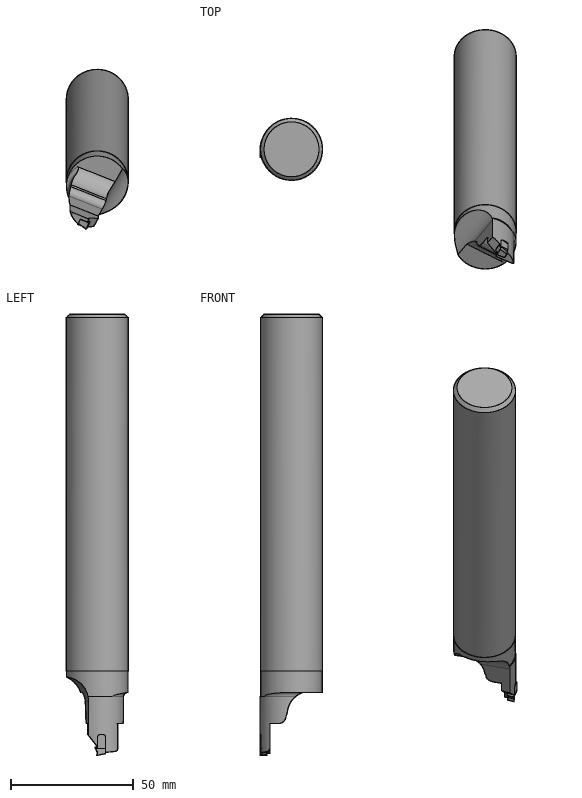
import cadquery as cq
import math

total_length = 180.0
shank_diameter = 25.37
overall_width_x = 25.58
collar_diameter = 25.15
shank_bottom_z = 34.5
collar_bottom_z = 25.7
top_chamfer = 1.5

tool_min_x = shank_diameter / 2 - overall_width_x
neck_radius = 10.75
neck_x = tool_min_x + neck_radius
neck_fillet = 1.7
neck_bottom_z = 13.0
neck_corner_radius = 3.2

blade_inner_x = -8.7
neck_inner_x = -2.2
relief_arc_start = (4.5, collar_bottom_z)
relief_arc_middle = (0.2, 22.5)
relief_arc_end = (-1.7, 17.3)

gullet_angle = 6.5
gullet_wall_x = tool_min_x
gullet_wall_y = 3.5
gullet_radius = 10.0
gullet_arc_z = 22.3

blade_bevel_top_z = 8.1
blade_heel_y = -8.4
blade_heel_radius = 1.3
blade_heel_z = 1.75
blade_bottom_slope = math.tan(math.radians(5.5))

insert_left_y = -0.1
insert_width = 3.3
insert_thickness = 2.9
insert_top_z = 8.6
insert_corner_radius = 1.2
head_top_z = 3.5
head_nose_y = 0.9
head_nose_z = 3.1
rake_valley_y = 0.0
rake_valley_z = 1.3
tip_y = 0.3
insert_heel_z = 0.75
head_relief_top_z = 2.9
head_relief_angle = 15.0

insert_right_y = insert_left_y - insert_width
reach = 2 * shank_diameter
clearance = 1.0


def make_shank_and_collar():
    shank = (
        cq.Workplane("XY", origin=(0, 0, shank_bottom_z))
        .circle(shank_diameter / 2)
        .extrude(total_length - shank_bottom_z)
        .faces(">Z")
        .chamfer(top_chamfer)
    )
    collar = (
        cq.Workplane("XY", origin=(0, 0, collar_bottom_z))
        .circle(collar_diameter / 2)
        .extrude(shank_bottom_z - collar_bottom_z)
    )
    return shank.union(collar)


def make_neck():
    """Neck cylinder with a concave flare that blends it into the underside of the collar."""
    diagonal = neck_fillet * math.sqrt(0.5)
    cylinder = (
        cq.Workplane("XY", origin=(neck_x, 0, 0))
        .circle(neck_radius)
        .extrude(collar_bottom_z - neck_fillet)
    )
    flare = (
        cq.Workplane("XZ")
        .moveTo(0, collar_bottom_z - neck_fillet)
        .lineTo(neck_radius, collar_bottom_z - neck_fillet)
        .threePointArc(
            (neck_radius + neck_fillet - diagonal, collar_bottom_z - neck_fillet + diagonal),
            (neck_radius + neck_fillet, collar_bottom_z),
        )
        .lineTo(0, collar_bottom_z)
        .close()
        .revolve(360, (0, 0, 0), (0, 1, 0))
        .translate((neck_x, 0, 0))
    )
    collar_column = cq.Workplane("XY").circle(collar_diameter / 2).extrude(collar_bottom_z)
    return cylinder.union(flare.intersect(collar_column))


def make_inner_relief():
    """Space removed on the +X side: under the collar, beside the neck and behind the blade."""
    corner_z = neck_bottom_z + neck_corner_radius
    corner_x = neck_inner_x - neck_corner_radius
    return (
        cq.Workplane("XZ", origin=(0, reach / 2, 0))
        .moveTo(reach, collar_bottom_z)
        .lineTo(*relief_arc_start)
        .threePointArc(relief_arc_middle, relief_arc_end)
        .lineTo(neck_inner_x, corner_z)
        .radiusArc((corner_x, neck_bottom_z), neck_corner_radius)
        .lineTo(blade_inner_x, neck_bottom_z)
        .lineTo(blade_inner_x, -clearance)
        .lineTo(reach, -clearance)
        .close()
        .extrude(reach)
    )


def make_gullet():
    """Space removed on the +Y side, drawn in YZ and swept along the slightly turned wall."""
    diagonal = gullet_radius * math.sqrt(0.5)
    return (
        cq.Workplane("YZ")
        .moveTo(0, -clearance)
        .lineTo(0, gullet_arc_z)
        .threePointArc(
            (gullet_radius - diagonal, gullet_arc_z + diagonal),
            (gullet_radius, gullet_arc_z + gullet_radius),
        )
        .lineTo(reach, gullet_arc_z + gullet_radius)
        .lineTo(reach, -clearance)
        .close()
        .extrude(reach, both=True)
        .rotate((0, 0, 0), (0, 0, 1), gullet_angle)
        .translate((gullet_wall_x, gullet_wall_y, 0))
    )


def make_blade_envelope():
    """Everything above the bevelled and sloped end of the blade."""
    bottom_at_insert_z = blade_heel_z - blade_bottom_slope * (insert_left_y - blade_heel_y)
    bevel_slope = (blade_bevel_top_z - head_top_z) / (gullet_wall_y - insert_left_y)
    bevel_end_z = blade_bevel_top_z + bevel_slope * (reach - gullet_wall_y)
    envelope = (
        cq.Workplane("YZ")
        .moveTo(insert_left_y, bottom_at_insert_z)
        .lineTo(insert_left_y, head_top_z)
        .lineTo(reach, bevel_end_z)
        .lineTo(reach, total_length + clearance)
        .lineTo(-reach, total_length + clearance)
        .lineTo(-reach, neck_bottom_z)
        .lineTo(blade_heel_y, neck_bottom_z)
        .lineTo(blade_heel_y, blade_heel_z)
        .close()
        .extrude(reach, both=True)
    )
    heel_point = (0, blade_heel_y, blade_heel_z)
    heel = envelope.edges(cq.selectors.NearestToPointSelector(heel_point))
    return heel.fillet(blade_heel_radius)


def make_insert_plate():
    """Insert with a flat outer side, which is also the shape of its pocket."""
    plate = (
        cq.Workplane("YZ", origin=(tool_min_x, 0, 0))
        .moveTo(insert_right_y, insert_heel_z)
        .lineTo(insert_right_y, insert_top_z)
        .lineTo(insert_left_y, insert_top_z)
        .lineTo(insert_left_y, head_top_z)
        .lineTo(head_nose_y, head_top_z)
        .lineTo(head_nose_y, head_nose_z)
        .lineTo(rake_valley_y, rake_valley_z)
        .lineTo(tip_y, 0)
        .close()
        .extrude(insert_thickness)
    )
    top_corners = plate.edges("|X").edges(">Z")
    return top_corners.fillet(insert_corner_radius)


def make_head_relief():
    """Wedge that clears the outer side of the cutting head, deepening from the tip towards -Y."""
    depth = (tip_y - insert_right_y) * math.tan(math.radians(head_relief_angle))
    return (
        cq.Workplane("XY")
        .moveTo(tool_min_x, tip_y)
        .lineTo(tool_min_x, insert_right_y)
        .lineTo(tool_min_x + depth, insert_right_y)
        .close()
        .extrude(head_relief_top_z)
    )


insert_plate = make_insert_plate()
insert = insert_plate.cut(make_head_relief())

holder = (
    make_shank_and_collar()
    .union(make_neck())
    .cut(make_inner_relief())
    .cut(make_gullet())
    .intersect(make_blade_envelope())
    .cut(insert_plate)
)

result = cq.Compound.makeCompound([holder.val(), insert.val()])